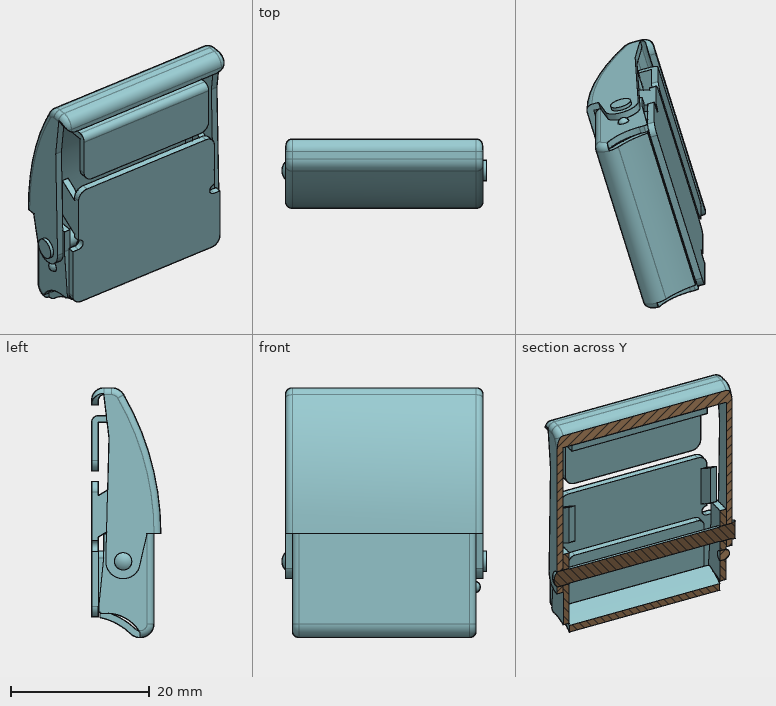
import cadquery as cq
import math


SHEET = 1.0
TOTAL_HEIGHT = 36.0
TOTAL_DEPTH = 10.0
COVER_HALF = 14.25
COVER_INNER_HALF = COVER_HALF - SHEET
HOUSING_HALF = COVER_INNER_HALF
HOUSING_INNER_HALF = HOUSING_HALF - SHEET
SPLIT_HEIGHT = 15.0
EDGE_RADIUS = 1.0

PIVOT_DEPTH = 4.55
PIVOT_HEIGHT = 11.0
PIN_DIAMETER = 2.5
PIN_HEAD_DIAMETER = 3.0
PIN_HEAD_HEIGHT = 0.5

FRONT_RADIUS = 40.0
TOP_RADIUS = 2.0
CURL_RADIUS = 1.8
CURL_END_HEIGHT = 33.5
CURL_CORNER = 2.0
TONGUE_RADIUS = 2.5
TONGUE_FRONT_HEIGHT = 10.0
TONGUE_SHOULDER_DEPTH = 8.0
BACK_KINK = (2.5, 28.8)
BACK_TOP_DEPTH = 1.75

HOUSING_DEPTH = TOTAL_DEPTH - SHEET
HOUSING_BACK_DEPTH = 1.75
HOUSING_BACK_KINK_HEIGHT = 11.5
FOOT_HEIGHT = 3.5
FOOT_RADIUS = 0.5
FOOT_END_DEPTH = 2.2
WALL_ARC_RADIUS = 5.5
BOTTOM_RADIUS = 2.0
LIP_ANGLE = math.radians(44)
LIP_RADIUS = 9.0
LIP_END_DEPTH = 1.2

BASE_BOTTOM = 3.0
BASE_TOP = 22.5
BASE_UPPER_HALF = 12.0
BASE_LOWER_HALF = 13.0
PLATE_CORNER = 1.5
RELIEF_RADIUS = 0.8
EAR_BOTTOM = 14.5
EAR_HEIGHT = 6.0
EAR_DEPTH = 4.0
EAR_SLOPE = 0.6

BRACKET_HALF = 11.0
BRACKET_BOTTOM = 24.0
BRACKET_TOP = 32.0
BRACKET_REACH = 3.0

BACKING_HALF = 11.0
BACKING_BOTTOM = 4.5
BACKING_TOP = 12.5
BACKING_CORNER = 1.0

STUD_DIAMETER = 1.6
STUD_DOME = 0.6
STUD_HEIGHT = 7.3


def profile(depth, height):
    """Start a profile in the plane whose axes are depth (-Y) and height (Z)."""
    plane = cq.Plane(origin=(0, 0, 0), xDir=(0, -1, 0), normal=(-1, 0, 0))
    return cq.Workplane(plane).moveTo(depth, height)


def across(outline, half_width):
    """Extrude a closed profile symmetrically along X."""
    return outline.close().extrude(half_width, both=True)


def polar(center, radius, angle):
    """Point at the given angle on a circle in the profile plane."""
    return center[0] + radius * math.cos(angle), center[1] + radius * math.sin(angle)


def arc_on(outline, center, radius, start, end):
    """Add the arc between two angles on a circle to an outline already at its start."""
    middle = polar(center, radius, (start + end) / 2)
    return outline.threePointArc(middle, polar(center, radius, end))


def left_tangent_angle(center, radius, point):
    """Angle, turning left from the point, where its tangent touches a circle."""
    dx = point[0] - center[0]
    dy = point[1] - center[1]
    return math.atan2(dy, dx) + math.acos(radius / math.hypot(dx, dy))


def x_rod(x_start, x_end, diameter, depth, height):
    """Round rod along X."""
    rod = cq.Workplane("YZ", origin=(x_start, -depth, height)).circle(diameter / 2)
    return rod.extrude(x_end - x_start)


def x_dome(x_base, direction, diameter, rise, depth, height):
    """Spherical cap standing on a plane of constant X."""
    half = diameter / 2
    bulge_height = rise * math.sin(math.pi / 4)
    sphere_radius = (half ** 2 + rise ** 2) / (2 * rise)
    bulge = sphere_radius - rise + bulge_height
    bulge_radius = math.sqrt(sphere_radius ** 2 - bulge ** 2)
    outline = cq.Workplane("XY", origin=(x_base, -depth, height)).lineTo(0, half)
    outline = outline.threePointArc((direction * bulge_height, bulge_radius), (direction * rise, 0))
    return outline.close().revolve(360, (0, 0, 0), (1, 0, 0))


def back_plate(half_width, bottom, top, back, thickness):
    """Upright plate whose rear face lies at the given depth."""
    plate = cq.Workplane("XY").box(2 * half_width, thickness, top - bottom)
    return plate.translate((0, -back - thickness / 2, (bottom + top) / 2))


PIVOT = (PIVOT_DEPTH, PIVOT_HEIGHT)
FRONT_CENTER = (TOTAL_DEPTH - FRONT_RADIUS, SPLIT_HEIGHT)
TOP_CENTER_HEIGHT = TOTAL_HEIGHT - TOP_RADIUS
BLEND_ANGLE = math.asin((TOP_CENTER_HEIGHT - SPLIT_HEIGHT) / (FRONT_RADIUS - TOP_RADIUS))
TOP_CENTER = polar(FRONT_CENTER, FRONT_RADIUS - TOP_RADIUS, BLEND_ANGLE)
CURL_CENTER = (CURL_RADIUS, TOTAL_HEIGHT - CURL_RADIUS)


def cover_front(outline, offset):
    """Bowed front and top blend, from the lower lip to the flat top, moved inward by offset."""
    outline = arc_on(outline, FRONT_CENTER, FRONT_RADIUS - offset, 0, BLEND_ANGLE)
    return arc_on(outline, TOP_CENTER, TOP_RADIUS - offset, BLEND_ANGLE, math.pi / 2)


def cover_envelope():
    """Solid block with the outer shape of the cover and its rounded side edges."""
    floor = PIVOT_HEIGHT - TONGUE_RADIUS
    outline = profile(TOTAL_DEPTH, floor).lineTo(TOTAL_DEPTH, SPLIT_HEIGHT)
    outline = cover_front(outline, 0).lineTo(CURL_CENTER[0], TOTAL_HEIGHT)
    outline = arc_on(outline, CURL_CENTER, CURL_RADIUS, math.pi / 2, math.pi)
    block = across(outline.lineTo(0, floor), COVER_HALF)
    return block.faces("<Y").edges("|Z").fillet(EDGE_RADIUS)


def cover_sheet():
    """Bent strip: bowed front, top and rear curl."""
    outline = cover_front(profile(TOTAL_DEPTH, SPLIT_HEIGHT), 0).lineTo(CURL_CENTER[0], TOTAL_HEIGHT)
    outline = arc_on(outline, CURL_CENTER, CURL_RADIUS, math.pi / 2, math.pi)
    outline = outline.lineTo(0, CURL_END_HEIGHT).lineTo(SHEET, CURL_END_HEIGHT).lineTo(SHEET, CURL_CENTER[1])
    outline = arc_on(outline, CURL_CENTER, CURL_RADIUS - SHEET, math.pi, math.pi / 2)
    outline = outline.lineTo(TOP_CENTER[0], TOTAL_HEIGHT - SHEET)
    outline = arc_on(outline, TOP_CENTER, TOP_RADIUS - SHEET, math.pi / 2, BLEND_ANGLE)
    outline = arc_on(outline, FRONT_CENTER, FRONT_RADIUS - SHEET, BLEND_ANGLE, 0)
    return across(outline, COVER_HALF)


def cover_walls():
    """Side walls that narrow to a round tongue around the pivot."""
    shoulder = (TONGUE_SHOULDER_DEPTH, SPLIT_HEIGHT)
    front_touch = math.asin((TONGUE_FRONT_HEIGHT - PIVOT_HEIGHT) / TONGUE_RADIUS)
    back_touch = left_tangent_angle(PIVOT, TONGUE_RADIUS, BACK_KINK) - 2 * math.pi
    outline = profile(*shoulder).lineTo(TOTAL_DEPTH, SPLIT_HEIGHT)
    outline = cover_front(outline, 0).lineTo(BACK_TOP_DEPTH, TOTAL_HEIGHT)
    outline = outline.lineTo(BACK_TOP_DEPTH, TOTAL_HEIGHT - SHEET).lineTo(*BACK_KINK)
    outline = outline.lineTo(*polar(PIVOT, TONGUE_RADIUS, back_touch))
    outline = arc_on(outline, PIVOT, TONGUE_RADIUS, back_touch, front_touch)
    gap = cq.Workplane("XY").box(2 * COVER_INNER_HALF, 4 * TOTAL_DEPTH, 4 * TOTAL_HEIGHT)
    return across(outline, COVER_HALF).cut(gap)


def curl_corner(side):
    """Waste outside the rounded lower corner of the curl on one side."""
    corner_x = side * (COVER_HALF - CURL_CORNER)
    corner = cq.Workplane("XZ", origin=(corner_x, 0, CURL_END_HEIGHT + CURL_CORNER))
    square = corner.center(side * CURL_CORNER / 2, -CURL_CORNER / 2).rect(CURL_CORNER, CURL_CORNER)
    return square.extrude(BACK_TOP_DEPTH).cut(corner.circle(CURL_CORNER).extrude(BACK_TOP_DEPTH))


def make_cover():
    blank = cover_sheet().union(cover_walls())
    pivot_hole = x_rod(-COVER_HALF, COVER_HALF, PIN_DIAMETER, *PIVOT)
    cover = blank.intersect(cover_envelope()).cut(pivot_hole)
    for side in (-1, 1):
        cover = cover.cut(curl_corner(side))
    return cover


BOTTOM_CENTER = (HOUSING_DEPTH - BOTTOM_RADIUS, BOTTOM_RADIUS)
WALL_ARC_CENTER = (FOOT_END_DEPTH, FOOT_HEIGHT - WALL_ARC_RADIUS)


def housing_tray():
    """Front wall, bottom bend and side walls, open at the back and the top."""
    wall_end = BOTTOM_CENTER[0]
    wall_end_angle = math.acos((wall_end - WALL_ARC_CENTER[0]) / WALL_ARC_RADIUS)
    outline = profile(HOUSING_BACK_DEPTH, SPLIT_HEIGHT).lineTo(HOUSING_DEPTH, SPLIT_HEIGHT)
    outline = outline.lineTo(HOUSING_DEPTH, BOTTOM_CENTER[1])
    outline = arc_on(outline, BOTTOM_CENTER, BOTTOM_RADIUS, 0, -math.pi / 2)
    outline = outline.lineTo(*polar(WALL_ARC_CENTER, WALL_ARC_RADIUS, wall_end_angle))
    outline = arc_on(outline, WALL_ARC_CENTER, WALL_ARC_RADIUS, wall_end_angle, math.pi / 2)
    foot_center = (SHEET + FOOT_RADIUS, FOOT_HEIGHT + FOOT_RADIUS)
    outline = outline.lineTo(foot_center[0], FOOT_HEIGHT)
    outline = arc_on(outline, foot_center, FOOT_RADIUS, -math.pi / 2, -math.pi)
    outline = outline.lineTo(HOUSING_BACK_DEPTH, HOUSING_BACK_KINK_HEIGHT)
    block = across(outline, HOUSING_HALF)

    block = block.faces("<Y").edges("|Z").fillet(EDGE_RADIUS)

    inner_depth = HOUSING_DEPTH - SHEET
    cavity = profile(0, TOTAL_HEIGHT).lineTo(inner_depth, TOTAL_HEIGHT).lineTo(inner_depth, BOTTOM_CENTER[1])
    cavity = arc_on(cavity, BOTTOM_CENTER, BOTTOM_RADIUS - SHEET, 0, -math.pi / 2)
    cavity = cavity.lineTo(wall_end, 0).lineTo(0, 0)
    return block.cut(across(cavity, HOUSING_INNER_HALF))


def housing_lip():
    """Bottom lip that continues the bottom bend and rises back to the base plate."""
    turn = -math.pi / 2 - LIP_ANGLE
    center = polar(BOTTOM_CENTER, BOTTOM_RADIUS + LIP_RADIUS, turn)
    start = math.pi / 2 - LIP_ANGLE
    lower_end = math.acos((LIP_END_DEPTH - center[0]) / LIP_RADIUS)
    upper_radius = LIP_RADIUS + SHEET
    upper_end = math.acos((LIP_END_DEPTH - center[0]) / upper_radius)
    outline = profile(BOTTOM_CENTER[0], 0)
    outline = arc_on(outline, BOTTOM_CENTER, BOTTOM_RADIUS, -math.pi / 2, turn)
    outline = arc_on(outline, center, LIP_RADIUS, start, lower_end)
    outline = outline.lineTo(*polar(center, upper_radius, upper_end))
    outline = arc_on(outline, center, upper_radius, upper_end, start)
    outline = arc_on(outline, BOTTOM_CENTER, BOTTOM_RADIUS - SHEET, turn, -math.pi / 2)
    return across(outline, HOUSING_INNER_HALF)


def make_housing():
    pivot_hole = x_rod(-HOUSING_HALF, HOUSING_HALF, PIN_DIAMETER, *PIVOT)
    stud_hole = x_rod(HOUSING_INNER_HALF, HOUSING_HALF, STUD_DIAMETER, PIVOT_DEPTH, STUD_HEIGHT)
    return housing_tray().union(housing_lip()).cut(pivot_hole).cut(stud_hole)


def make_base():
    relief_height = EAR_BOTTOM - SHEET / 2 - RELIEF_RADIUS
    shoulder = relief_height - RELIEF_RADIUS
    lower = back_plate(BASE_LOWER_HALF, BASE_BOTTOM, shoulder, 0, SHEET)
    lower = lower.edges("|Y and <Z").fillet(PLATE_CORNER)
    upper = back_plate(BASE_UPPER_HALF, shoulder, BASE_TOP, 0, SHEET)
    upper = upper.edges("|Y and >Z").fillet(PLATE_CORNER)
    base = lower.union(upper)

    ear_rise = EAR_SLOPE * (EAR_DEPTH - SHEET)
    ear_top = EAR_BOTTOM + EAR_HEIGHT
    outline = profile(0, EAR_BOTTOM).lineTo(SHEET, EAR_BOTTOM).lineTo(EAR_DEPTH, EAR_BOTTOM + ear_rise)
    outline = outline.lineTo(EAR_DEPTH, ear_top + ear_rise).lineTo(SHEET, ear_top).lineTo(0, ear_top)
    ears = across(outline, BASE_UPPER_HALF)
    gap = cq.Workplane("XY").box(2 * (BASE_UPPER_HALF - SHEET), 4 * TOTAL_DEPTH, 4 * TOTAL_HEIGHT)
    base = base.union(ears.cut(gap))

    for side in (-1, 1):
        relief = cq.Workplane("XZ", origin=(side * BASE_UPPER_HALF, 0, relief_height))
        base = base.cut(relief.circle(RELIEF_RADIUS).extrude(SHEET))
    return base


def make_bracket():
    upright = back_plate(BRACKET_HALF, BRACKET_BOTTOM, BRACKET_TOP, 0, SHEET)
    upright = upright.edges("|Y and <Z").fillet(PLATE_CORNER)
    arm = back_plate(BRACKET_HALF, BRACKET_TOP - SHEET, BRACKET_TOP, 0, BRACKET_REACH)
    return upright.union(arm).edges("|X and >Y and >Z").fillet(EDGE_RADIUS)


def make_backing():
    plate = back_plate(BACKING_HALF, BACKING_BOTTOM, BACKING_TOP, SHEET, SHEET)
    return plate.edges("|Y and >Z").fillet(BACKING_CORNER)


def make_pin():
    shaft = x_rod(-COVER_HALF, COVER_HALF, PIN_DIAMETER, *PIVOT)
    head = x_rod(COVER_HALF, COVER_HALF + PIN_HEAD_HEIGHT, PIN_HEAD_DIAMETER, *PIVOT)
    dome = x_dome(-COVER_HALF, -1, PIN_DIAMETER, PIN_HEAD_HEIGHT, *PIVOT)
    return shaft.union(head).union(dome)


def make_stud():
    shank = x_rod(HOUSING_INNER_HALF, HOUSING_HALF, STUD_DIAMETER, PIVOT_DEPTH, STUD_HEIGHT)
    return shank.union(x_dome(HOUSING_HALF, 1, STUD_DIAMETER, STUD_DOME, PIVOT_DEPTH, STUD_HEIGHT))


cover = make_cover()
housing = make_housing()
base = make_base()
bracket = make_bracket()
backing = make_backing()
pin = make_pin()
stud = make_stud()

result = cq.Compound.makeCompound(
    [body.solids().val() for body in (cover, housing, base, bracket, backing, pin, stud)]
)